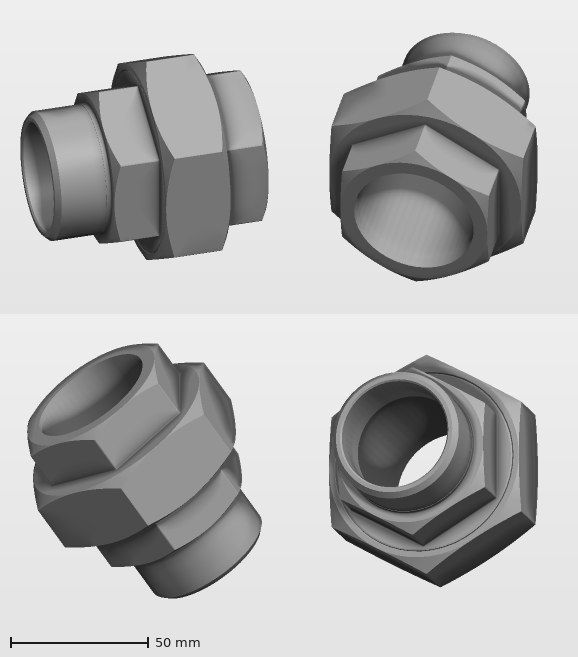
import cadquery as cq
import math


NUT_FLATS = 72.0
NUT_CORNERS = 83.05
BODY_FLATS = 55.15
BODY_CORNERS = 63.45
CROWN_ANGLE = 30.0

TOTAL_LENGTH = 79.5
FRONT_HEX_Y = 20.9
NUT_FRONT_Y = 38.0
NUT_BACK_Y = 62.5

SPIGOT_DIAMETER = 47.8
SPIGOT_CHAMFER_LENGTH = 2.0
SPIGOT_CHAMFER_DEPTH = 1.8
COLLAR_DIAMETER = 48.2
COLLAR_Y = 19.1
ROOT_FILLET = 0.4
EDGE_TOLERANCE = 0.01

BODY_FACE_DIAMETER = 66.0
BODY_CHAMFER_DEPTH = 0.5
BODY_CHAMFER_LENGTH = 0.2
NUT_OPENING_DIAMETER = 67.4
NUT_OPENING_RIM = 68.0
CLEARANCE_DEPTH = 1.7

BORE_DIAMETER = 40.0
BORE_RIM_DIAMETER = 41.2
REAR_BORE_DIAMETER = 44.85
REAR_BORE_Y = 20.9
REAR_BORE_ANGLE = 40.0


def revolve_profile(points):
    """Solid of revolution about Y from (radius, y) points."""
    return cq.Workplane("XY").polyline(points).close().revolve(360, (0, 0, 0), (0, 1, 0))


def hexagon(flats, y_start, y_end):
    """Hexagonal prism along Y with corners on the Z axis."""
    sharp_corners = flats / math.cos(math.pi / 6)
    return (
        cq.Workplane("XZ", origin=(0, y_start, 0))
        .transformed(rotate=(0, 0, 90))
        .polygon(6, sharp_corners)
        .extrude(-(y_end - y_start))
    )


def crowned_hexagon(flats, corners, y_start, y_end, crown_start, crown_end):
    """Hexagonal prism whose corners are turned off conically at the chosen ends."""
    face_radius = flats / 2
    outer_radius = corners / 2
    crown = (outer_radius - face_radius) * math.tan(math.radians(CROWN_ANGLE))
    envelope = [(0, y_start)]
    if crown_start:
        envelope += [(face_radius, y_start), (outer_radius, y_start + crown)]
    else:
        envelope += [(outer_radius, y_start)]
    if crown_end:
        envelope += [(outer_radius, y_end - crown), (face_radius, y_end)]
    else:
        envelope += [(outer_radius, y_end)]
    envelope += [(0, y_end)]
    return hexagon(flats, y_start, y_end).intersect(revolve_profile(envelope))


def root_edges(y, reach):
    """Selector for the edges at station y within the given distance of the axis."""
    return cq.selectors.BoxSelector(
        (-reach, y - EDGE_TOLERANCE, -reach), (reach, y + EDGE_TOLERANCE, reach), boundingbox=True
    )


def make_nut():
    nut = crowned_hexagon(NUT_FLATS, NUT_CORNERS, NUT_FRONT_Y, NUT_BACK_Y, True, True)
    face_radius = BODY_FACE_DIAMETER / 2
    disc_radius = face_radius + BODY_CHAMFER_DEPTH
    opening_radius = NUT_OPENING_DIAMETER / 2
    rim_radius = NUT_OPENING_RIM / 2
    rim_depth = rim_radius - opening_radius
    floor_y = NUT_FRONT_Y + CLEARANCE_DEPTH
    clearance = revolve_profile([
        (face_radius, NUT_FRONT_Y),
        (rim_radius, NUT_FRONT_Y),
        (opening_radius, NUT_FRONT_Y + rim_depth),
        (opening_radius, floor_y),
        (disc_radius, floor_y),
        (disc_radius, NUT_FRONT_Y + BODY_CHAMFER_LENGTH),
    ])
    return nut.cut(clearance)


def make_spigot():
    radius = SPIGOT_DIAMETER / 2
    collar_radius = COLLAR_DIAMETER / 2
    return revolve_profile([
        (0, 0),
        (radius - SPIGOT_CHAMFER_DEPTH, 0),
        (radius, SPIGOT_CHAMFER_LENGTH),
        (radius, COLLAR_Y),
        (collar_radius, COLLAR_Y),
        (collar_radius, FRONT_HEX_Y),
        (0, FRONT_HEX_Y),
    ])


def make_bore():
    radius = BORE_DIAMETER / 2
    rim_radius = BORE_RIM_DIAMETER / 2
    rear_radius = REAR_BORE_DIAMETER / 2
    cone_length = (rear_radius - radius) / math.tan(math.radians(REAR_BORE_ANGLE))
    return revolve_profile([
        (0, 0),
        (rim_radius, 0),
        (radius, rim_radius - radius),
        (radius, REAR_BORE_Y),
        (rear_radius, REAR_BORE_Y + cone_length),
        (rear_radius, TOTAL_LENGTH),
        (0, TOTAL_LENGTH),
    ])


front_hex = crowned_hexagon(BODY_FLATS, BODY_CORNERS, FRONT_HEX_Y, NUT_FRONT_Y, True, False)
rear_hex = crowned_hexagon(BODY_FLATS, BODY_CORNERS, NUT_BACK_Y, TOTAL_LENGTH, False, True)
result = make_nut().union(front_hex).union(rear_hex).union(make_spigot())

hexagon_reach = BODY_CORNERS / 2 + ROOT_FILLET
collar_reach = COLLAR_DIAMETER / 2 + ROOT_FILLET
for root_y, root_reach in [
    (NUT_FRONT_Y, hexagon_reach),
    (NUT_BACK_Y, hexagon_reach),
    (FRONT_HEX_Y, collar_reach),
]:
    result = result.edges(root_edges(root_y, root_reach)).fillet(ROOT_FILLET)

result = result.cut(make_bore())